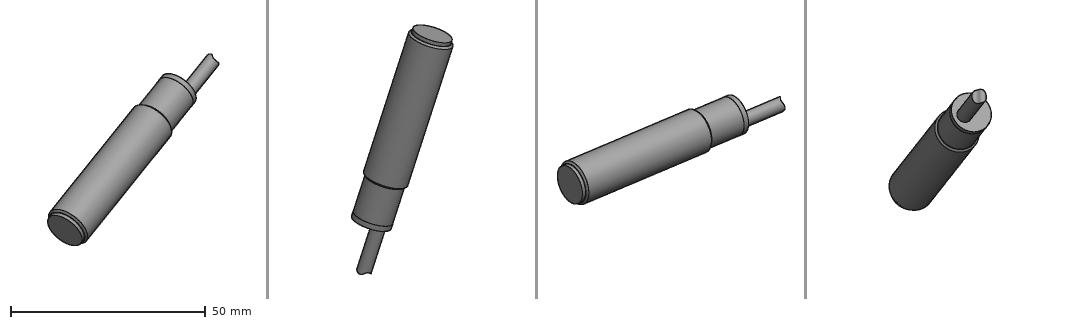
import cadquery as cq
import math

overall_length = 67.5
tip_length = 1.0
barrel_length = 41.0
neck_end = 52.5
cap_length = 1.5

tip_diameter = 10.6
barrel_diameter = 12.0
neck_diameter = 10.7
cap_diameter = 10.8
cable_diameter = 3.9

barrel_chamfer = 0.55

cable_x = 1.95
cable_z = -1.1

break_arc_diameter = 2.5

barrel_end = tip_length + barrel_length
cap_end = neck_end + cap_length


def cylinder_along_y(diameter, start, end, x=0, z=0):
    """Cylinder parallel to +Y between two stations."""
    axis_start = cq.Vector(x, start, z)
    return cq.Workplane(cq.Solid.makeCylinder(diameter / 2, end - start, axis_start, cq.Vector(0, 1, 0)))


def make_housing():
    """Tip, chamfered barrel, neck and end cap on a common axis."""
    tip = cylinder_along_y(tip_diameter, 0, tip_length)
    barrel = cylinder_along_y(barrel_diameter, tip_length, barrel_end)
    barrel = barrel.faces("<Y or >Y").chamfer(barrel_chamfer)
    neck = cylinder_along_y(neck_diameter, barrel_end, neck_end)
    cap = cylinder_along_y(cap_diameter, neck_end, cap_end)
    return tip.union(barrel).union(neck).union(cap)


def make_cable():
    """Cable whose free end bulges on the -X half and dips on the +X half."""
    cable_radius = cable_diameter / 2
    arc_radius = break_arc_diameter / 2
    arc_height = arc_radius - math.sqrt(arc_radius**2 - (cable_radius / 2) ** 2)
    break_y = overall_length - arc_height
    left = cable_x - cable_radius
    right = cable_x + cable_radius

    profile = (
        cq.Workplane("XY", origin=(0, 0, cable_z))
        .moveTo(left, cap_end)
        .lineTo(left, break_y)
        .threePointArc((cable_x - cable_radius / 2, overall_length), (cable_x, break_y))
        .threePointArc((cable_x + cable_radius / 2, break_y - arc_height), (right, break_y))
        .lineTo(right, cap_end)
        .close()
        .extrude(cable_radius, both=True)
    )
    rod = cylinder_along_y(cable_diameter, cap_end, overall_length, cable_x, cable_z)
    return rod.intersect(profile)


result = make_housing().union(make_cable())